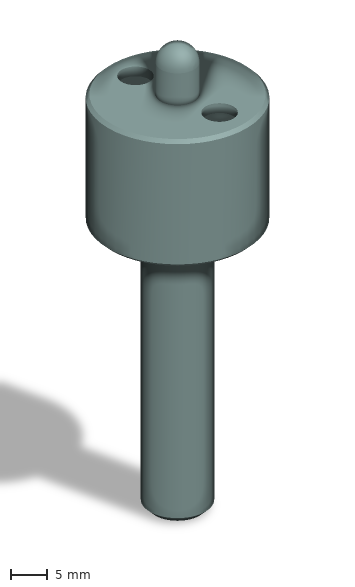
import cadquery as cq

total_length = 73.0
head_height = 20.0
pin_height = 8.0
shank_length = total_length - head_height - pin_height

head_diameter = 25.0
shank_diameter = 10.0
pin_diameter = 6.0

head_chamfer = 0.5
shank_chamfer = 1.0

hole_diameter = 5.0
hole_offset = 7.5
hole_depth = 1.5

head_top = shank_length + head_height


def cylinder(diameter, base_z, height):
    """Solid cylinder on the Z axis, standing on base_z."""
    return cq.Workplane("XY").workplane(offset=base_z).circle(diameter / 2).extrude(height)


def make_shank():
    return cylinder(shank_diameter, 0, shank_length).faces("<Z").chamfer(shank_chamfer)


def make_head():
    head = cylinder(head_diameter, shank_length, head_height)
    head = head.faces("<Z or >Z").edges().chamfer(head_chamfer)
    holes = (
        cq.Workplane("XY")
        .workplane(offset=head_top - hole_depth)
        .pushPoints([(-hole_offset, 0), (hole_offset, 0)])
        .circle(hole_diameter / 2)
        .extrude(hole_depth)
    )
    return head.cut(holes)


def make_pin():
    """Locating pin with a hemispherical tip, revolved about Z."""
    radius = pin_diameter / 2
    dome_base = total_length - radius
    return (
        cq.Workplane("XZ")
        .moveTo(0, head_top)
        .lineTo(radius, head_top)
        .lineTo(radius, dome_base)
        .radiusArc((0, total_length), -radius)
        .close()
        .revolve(360, (0, 0, 0), (0, 1, 0))
    )


result = make_shank().union(make_head()).union(make_pin())